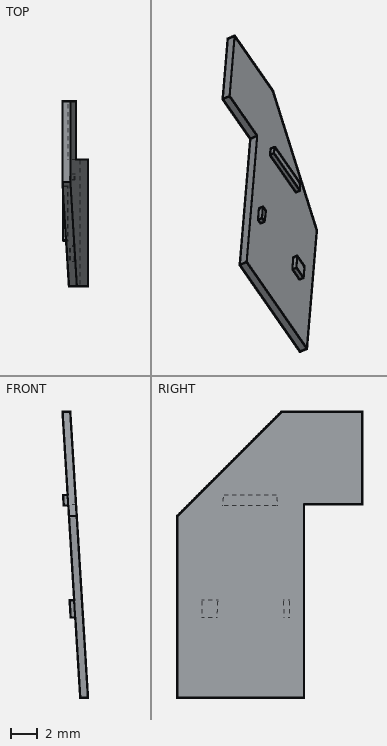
import cadquery as cq

plate_height = 21.37
plate_width = 13.83
total_depth = 1.92
plate_thickness = 0.6
lean = total_depth - plate_thickness

notch_width = 4.34
notch_bottom = 14.45
corner_cut = 7.8

raised_height = 0.35

ledge_bottom = 14.35
ledge_top = 15.15
ledge_center_y = 5.45
ledge_bottom_width = 4.1
ledge_top_width = 3.97

pad_bottom = 5.98
pad_top = 7.29
pad_slant = 0.06
small_pad_left = 8.4
small_pad_right = 8.0
large_pad_left = 2.97
large_pad_right = 1.85


def leaning_slab(front_offset, thickness):
    """Full-width slab parallel to the plate; front_offset is measured along X from the plate's -X face."""
    profile = [
        (lean + front_offset, 0),
        (lean + front_offset + thickness, 0),
        (front_offset + thickness, plate_height),
        (front_offset, plate_height),
    ]
    return cq.Workplane("XZ").polyline(profile).close().extrude(-plate_width)


def cut_to_outline(slab, outline):
    """Keep the part of a slab inside a (Y, Z) outline."""
    cutter_start = -2 * raised_height
    cutter_length = total_depth - 2 * cutter_start
    cutter = cq.Workplane("YZ", origin=(cutter_start, 0, 0)).polyline(outline).close().extrude(cutter_length)
    return slab.intersect(cutter)


def make_plate():
    outline = [
        (0, 0),
        (plate_width - notch_width, 0),
        (plate_width - notch_width, notch_bottom),
        (plate_width, notch_bottom),
        (plate_width, plate_height),
        (corner_cut, plate_height),
        (0, plate_height - corner_cut),
    ]
    return cut_to_outline(leaning_slab(0, plate_thickness), outline)


def make_raised(outline):
    """Raised block, running through the plate thickness so that it joins cleanly."""
    return cut_to_outline(leaning_slab(-raised_height, raised_height + plate_thickness), outline)


def make_ledge():
    return make_raised([
        (ledge_center_y - ledge_bottom_width / 2, ledge_bottom),
        (ledge_center_y + ledge_bottom_width / 2, ledge_bottom),
        (ledge_center_y + ledge_top_width / 2, ledge_top),
        (ledge_center_y - ledge_top_width / 2, ledge_top),
    ])


def make_pad(left_bottom, left_top, right_bottom, right_top):
    return make_raised([
        (right_bottom, pad_bottom),
        (left_bottom, pad_bottom),
        (left_top, pad_top),
        (right_top, pad_top),
    ])


small_pad = make_pad(small_pad_left, small_pad_left, small_pad_right, small_pad_right - pad_slant)
large_pad = make_pad(large_pad_left, large_pad_left + pad_slant, large_pad_right, large_pad_right)

result = make_plate().union(make_ledge()).union(small_pad).union(large_pad)